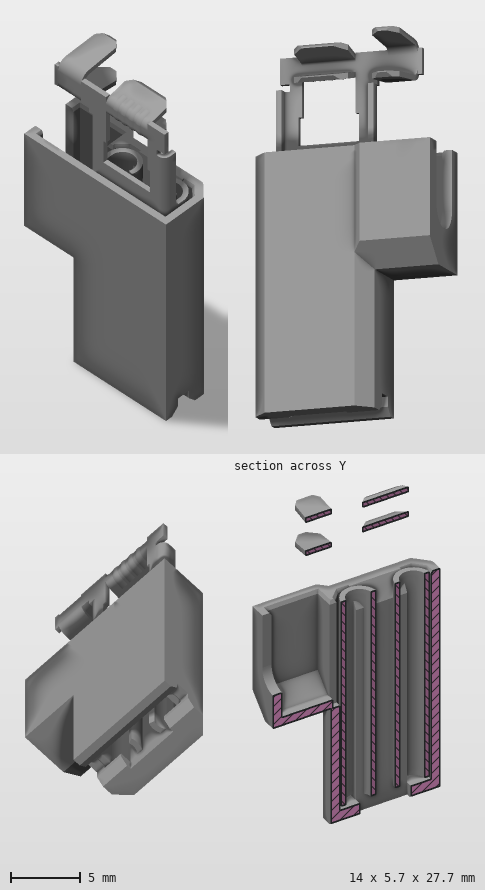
import cadquery as cq
import math

housing_length = 14.03
housing_depth = 5.7
housing_height = 19.13
stem_left = 4.88
stem_depth = 5.07
stem_chamfer = 1.15
wing_bottom = 10.15
wing_slope = 1.77
side_wall = 0.78
front_wall = 0.75
wing_back_wall = 0.72
wing_floor_thickness = 0.72
wing_floor_slope = 1.35
wing_pocket_right = 5.05
passage_depth = 3.33
stem_pocket_back = 4.3
stem_pocket_chamfer = 0.72
stem_floor = 1.05
rim_chamfer_width = 0.17
rim_chamfer_height = 0.28
cable_slot_radius = 1.58
cable_slot_y = 2.75
cable_slot_bottom = 13.0
notch_width = 1.16
notch_y = 1.83
notch_height = 1.35
notch_flare = 0.6
rib_width = 4.3
rib_front = 3.38
rib_ramp_height = 1.58

sheet = 0.42
contact_left = 5.7
contact_right = 13.17
contact_front = front_wall
contact_bottom = notch_height
contact_height = 27.72
flange_bend_radius = 0.6
flange_top = 24.35
flange_reach = 1.97
flange_step_chamfer = 0.25
curl_radius = 1.47
curl_center_y = 2.7
curl_end_angle = -20.0
head_left = 2.3
head_bottom = 24.9
head_top = 26.83
relief_depth = 0.78
relief_radius = 0.1
window_width = 4.63
window_bottom = 20.32
window_shoulder = 22.4

tip_bevel = 0.33

clamp_left = 2.63
clamp_right = 4.9
clamp_taper = 0.17
clamp_bend_radius = 0.95
clamp_tilt = 6.0
clamp_reach = 5.2
clamp_corner_x = 0.72
clamp_corner_y = 0.8

strap_width = 4.13
strap_half_bar = 0.3
strap_bend_radius = 0.58
strap_tilt = 14.0
strap_reach = 3.58
strap_corner = 0.85

ridge_count = 4
ridge_pitch = 0.75
ridge_width = 0.53
ridge_rise = 0.05
ridge_root = 0.15
ridge_reach = 1.75

contact_center = (contact_left + contact_right) / 2
head_center = (head_bottom + head_top) / 2


def box(x0, x1, y0, y1, z0, z1):
    """Axis-aligned box between two opposite corners."""
    return cq.Workplane("XY").box(x1 - x0, y1 - y0, z1 - z0, centered=False).translate((x0, y0, z0))


def side_prism(points, x0, x1):
    """Outline of (y, z) points extruded along X from x0 to x1."""
    return cq.Workplane("YZ").polyline(points).close().extrude(x1 - x0).translate((x0, 0, 0))


def plan_prism(points, z0, z1):
    """Outline of (x, y) points extruded along Z from z0 to z1."""
    return cq.Workplane("XY").polyline(points).close().extrude(z1 - z0).translate((0, 0, z0))



def stem_block():
    return plan_prism([
        (stem_left, 0),
        (housing_length, 0),
        (housing_length, stem_depth - stem_chamfer),
        (housing_length - stem_chamfer, stem_depth),
        (stem_left + stem_chamfer, stem_depth),
        (stem_left, stem_depth - stem_chamfer),
    ], 0, housing_height)


def wing_block():
    join_x = stem_left + stem_chamfer
    plan = plan_prism([
        (0, 0),
        (join_x, 0),
        (join_x, stem_depth),
        (join_x - (housing_depth - stem_depth), housing_depth),
        (0, housing_depth),
    ], wing_bottom, housing_height)
    side = side_prism([
        (0, wing_bottom),
        (housing_depth - wing_slope, wing_bottom),
        (housing_depth, wing_bottom + wing_slope),
        (housing_depth, housing_height),
        (0, housing_height),
    ], 0, join_x)
    return plan.intersect(side)


def stem_pocket_outline(grow):
    """Stem pocket in plan; grow moves the walls outward."""
    center = contact_center
    half = housing_length - side_wall - center + grow
    back = stem_pocket_back + grow
    corner = stem_pocket_chamfer + grow * (2 - math.sqrt(2))
    return [
        (center - half, front_wall - grow),
        (center + half, front_wall - grow),
        (center + half, back - corner),
        (center + half - corner, back),
        (center - half + corner, back),
        (center - half, back - corner),
    ]


def rectangle(x0, x1, y0, y1):
    return [(x0, y0), (x1, y0), (x1, y1), (x0, y1)]


def rim_chamfer(lower_outline, upper_outline):
    """Tapered cut that widens a pocket towards its rim."""
    return (
        cq.Workplane("XY").workplane(offset=housing_height - rim_chamfer_height)
        .polyline(lower_outline).close()
        .workplane(offset=rim_chamfer_height)
        .polyline(upper_outline).close()
        .loft(ruled=True)
    )


def wing_pocket():
    floor = wing_bottom + wing_floor_thickness
    back = housing_depth - wing_back_wall
    return side_prism([
        (front_wall, floor),
        (back - wing_floor_slope, floor),
        (back, floor + wing_floor_slope),
        (back, housing_height),
        (front_wall, housing_height),
    ], side_wall, wing_pocket_right)


def pocket_rims():
    grow = rim_chamfer_width
    wing_back = housing_depth - wing_back_wall
    wing = rim_chamfer(
        rectangle(side_wall, wing_pocket_right, front_wall, wing_back),
        rectangle(side_wall - grow, wing_pocket_right + grow, front_wall - grow, wing_back + grow),
    )
    passage = rim_chamfer(
        rectangle(wing_pocket_right, contact_center, front_wall, passage_depth),
        rectangle(wing_pocket_right, contact_center, front_wall - grow, passage_depth + grow),
    )
    stem = rim_chamfer(stem_pocket_outline(0), stem_pocket_outline(grow))
    return wing.union(passage).union(stem)


def cable_slot():
    center_z = cable_slot_bottom + cable_slot_radius
    round_end = (
        cq.Workplane("YZ").center(cable_slot_y, center_z).circle(cable_slot_radius).extrude(side_wall)
    )
    straight = box(0, side_wall, cable_slot_y - cable_slot_radius, cable_slot_y + cable_slot_radius,
                   center_z, housing_height)
    return round_end.union(straight)


def bottom_notch():
    half = notch_width / 2
    return side_prism([
        (notch_y - half - notch_flare, 0),
        (notch_y - half, notch_flare),
        (notch_y - half, notch_height),
        (notch_y + half, notch_height),
        (notch_y + half, notch_flare),
        (notch_y + half + notch_flare, 0),
    ], 0, housing_length)


def rib():
    """Rib down the back wall of the stem pocket, ramped at the top."""
    half = rib_width / 2
    return side_prism([
        (rib_front, 0),
        (stem_depth, 0),
        (stem_depth, housing_height),
        (stem_pocket_back, housing_height),
        (rib_front, housing_height - rib_ramp_height),
    ], contact_center - half, contact_center + half)


def entry_opening():
    """Opening through the stem floor in front of the rib."""
    half = rib_width / 2
    return box(contact_center - half, contact_center + half,
               notch_y - notch_width / 2, rib_front, 0, stem_floor)


def make_housing():
    passage = box(wing_pocket_right, contact_center, front_wall, passage_depth,
                  wing_bottom, housing_height)
    return (
        stem_block()
        .union(wing_block())
        .cut(wing_pocket())
        .cut(plan_prism(stem_pocket_outline(0), stem_floor, housing_height))
        .cut(passage)
        .cut(pocket_rims())
        .union(rib())
        .cut(cable_slot())
        .cut(bottom_notch())
        .cut(entry_opening())
    )



def on_circle(center, radius, degrees):
    angle = math.radians(degrees)
    return (center[0] + radius * math.cos(angle), center[1] + radius * math.sin(angle))


def contact_half_section():
    """Left half of the body: front sheet, bent flange and curled end."""
    bend = (contact_left + flange_bend_radius, contact_front + flange_bend_radius)
    bend_inner = flange_bend_radius - sheet
    curl = (contact_left + curl_radius, curl_center_y)
    curl_inner = curl_radius - sheet
    return (
        cq.Workplane("XY").workplane(offset=contact_bottom)
        .moveTo(contact_center, contact_front)
        .lineTo(bend[0], contact_front)
        .threePointArc(on_circle(bend, flange_bend_radius, 225), (contact_left, bend[1]))
        .lineTo(contact_left, curl_center_y)
        .threePointArc(on_circle(curl, curl_radius, 90), on_circle(curl, curl_radius, curl_end_angle))
        .lineTo(*on_circle(curl, curl_inner, curl_end_angle))
        .threePointArc(on_circle(curl, curl_inner, 90), (contact_left + sheet, curl_center_y))
        .lineTo(contact_left + sheet, bend[1])
        .threePointArc(on_circle(bend, bend_inner, 225), (bend[0], contact_front + sheet))
        .lineTo(contact_center, contact_front + sheet)
        .close()
        .extrude(flange_top - contact_bottom)
    )


def contact_body():
    half = contact_half_section()
    other_half = half.mirror("YZ", (contact_center, 0, 0))
    above_curls = side_prism([
        (flange_reach, flange_top),
        (flange_reach, housing_height + flange_step_chamfer),
        (flange_reach + flange_step_chamfer, housing_height),
        (housing_depth, housing_height),
        (housing_depth, flange_top),
    ], contact_left, contact_right)
    return half.union(other_half).cut(above_curls)


def front_box(x0, x1, z0, z1):
    """Box of sheet thickness in the front sheet."""
    return box(x0, x1, contact_front, contact_front + sheet, z0, z1)


def contact_head():
    neck = front_box(contact_left, contact_right, flange_top, head_bottom)
    head = front_box(head_left, contact_right, head_bottom, head_top)
    relief = (
        front_box(contact_right - relief_depth, contact_right, flange_top, head_bottom)
        .edges("|Y and <X").fillet(relief_radius)
    )
    return head.union(neck).cut(relief)


def window():
    half = window_width / 2
    strap_half = strap_width / 2
    lower = front_box(contact_center - half, contact_center + half, window_bottom, window_shoulder)
    upper = front_box(contact_center - strap_half, contact_center + strap_half,
                      window_shoulder, head_center - strap_half_bar)
    return lower.union(upper)


def bent_tab_side(bend_z, radius, tilt, reach):
    """Upper tab in side view: a bend, a tilted straight run and a 45 degree tip bevel.

    Returns the closed outline and the (y, z) position of the bevel's outer corner.
    """
    center = (contact_front + radius, bend_z)
    run = (math.cos(math.radians(tilt)), math.sin(math.radians(tilt)))
    outer_end = on_circle(center, radius, 90 + tilt)
    inner_end = on_circle(center, radius - sheet, 90 + tilt)
    length = (reach - inner_end[0]) / run[0]
    inner_tip = (reach, inner_end[1] + length * run[1])
    blunt = sheet - tip_bevel
    bevel_start = (inner_tip[0] - blunt * run[1], inner_tip[1] + blunt * run[0])
    outer_tip = (
        bevel_start[0] - tip_bevel * (run[0] + run[1]),
        bevel_start[1] + tip_bevel * (run[0] - run[1]),
    )
    middle = 135 + tilt / 2
    outline = (
        cq.Workplane("YZ")
        .moveTo(contact_front, bend_z)
        .threePointArc(on_circle(center, radius, middle), outer_end)
        .lineTo(*outer_tip)
        .lineTo(*bevel_start)
        .lineTo(*inner_tip)
        .lineTo(*inner_end)
        .threePointArc(on_circle(center, radius - sheet, middle), (contact_front + sheet, bend_z))
        .close()
    )
    return outline, outer_tip


def bent_tab_pair(plan, bend_z, radius, tilt, reach):
    """Two tabs mirrored about the middle of the head, trimmed to a plan outline."""
    outline, _ = bent_tab_side(bend_z, radius, tilt, reach)
    trim = plan_prism(plan, head_center, contact_height)
    upper = outline.extrude(housing_length).intersect(trim)
    return upper, upper.mirror("XY", (0, 0, head_center))


def add_tab_pair(sheet_metal, left, right, plan, bend_z, radius, tilt, reach):
    """Cut the head back to the bend lines and attach the two tabs there."""
    upper, lower = bent_tab_pair(plan, bend_z, radius, tilt, reach)
    return (
        sheet_metal
        .cut(front_box(left, right, bend_z, head_top))
        .cut(front_box(left, right, head_bottom, 2 * head_center - bend_z))
        .union(upper)
        .union(lower)
    )


def clamp_bend_height():
    """Bend line that brings the tip of the upper clamp tab to the full height."""
    _, tip = bent_tab_side(0, clamp_bend_radius, clamp_tilt, clamp_reach)
    return contact_height - tip[1]


def add_clamp_tabs(sheet_metal):
    corner_y = clamp_reach - clamp_corner_y
    plan = [
        (clamp_left, contact_front),
        (clamp_right, contact_front),
        (clamp_right, corner_y),
        (clamp_right - clamp_corner_x, clamp_reach),
        (clamp_left + clamp_taper + clamp_corner_x, clamp_reach),
        (clamp_left + clamp_taper, corner_y),
    ]
    return add_tab_pair(sheet_metal, clamp_left, clamp_right, plan, clamp_bend_height(),
                        clamp_bend_radius, clamp_tilt, clamp_reach)


def add_strap_tabs(sheet_metal):
    left = contact_center - strap_width / 2
    right = contact_center + strap_width / 2
    corner_y = strap_reach - strap_corner
    plan = [
        (left, contact_front),
        (right, contact_front),
        (right, corner_y),
        (right - strap_corner, strap_reach),
        (left + strap_corner, strap_reach),
        (left, corner_y),
    ]
    return add_tab_pair(sheet_metal, left, right, plan, head_center + strap_half_bar,
                        strap_bend_radius, strap_tilt, strap_reach)


def strap_ridge(x):
    """Round-backed ridge that follows the outside of the strap around both bends."""
    top = (contact_front + strap_bend_radius, head_center + strap_half_bar)
    bottom = (top[0], head_center - strap_half_bar)
    middle = 135 + strap_tilt / 2
    bend_end = on_circle(top, strap_bend_radius, 90 + strap_tilt)
    start_z = bend_end[1] + (ridge_reach - bend_end[0]) * math.tan(math.radians(strap_tilt))
    end_z = 2 * head_center - start_z
    path = (
        cq.Workplane("YZ", origin=(x, 0, 0))
        .moveTo(ridge_reach, start_z)
        .lineTo(*bend_end)
        .threePointArc(on_circle(top, strap_bend_radius, middle), (contact_front, top[1]))
        .lineTo(contact_front, bottom[1])
        .threePointArc(on_circle(bottom, strap_bend_radius, -middle),
                       on_circle(bottom, strap_bend_radius, -90 - strap_tilt))
        .lineTo(ridge_reach, end_z)
    )
    tilt = math.radians(strap_tilt)
    start_plane = cq.Plane(
        origin=(x, ridge_reach, start_z),
        xDir=(1, 0, 0),
        normal=(0, -math.cos(tilt), -math.sin(tilt)),
    )
    half = ridge_width / 2
    profile = (
        cq.Workplane(start_plane)
        .moveTo(-half, 0)
        .threePointArc((0, ridge_rise), (half, 0))
        .lineTo(half, -ridge_root)
        .lineTo(-half, -ridge_root)
        .close()
    )
    return profile.sweep(path)


def make_contact():
    contact = contact_body().union(contact_head()).cut(window())
    contact = add_clamp_tabs(contact)
    contact = add_strap_tabs(contact)
    for index in range(ridge_count):
        offset = (index - (ridge_count - 1) / 2) * ridge_pitch
        contact = contact.union(strap_ridge(contact_center + offset))
    return contact


contact = make_contact()
housing = make_housing().cut(contact)

result = cq.Compound.makeCompound([housing.solids().val(), contact.solids().val()])